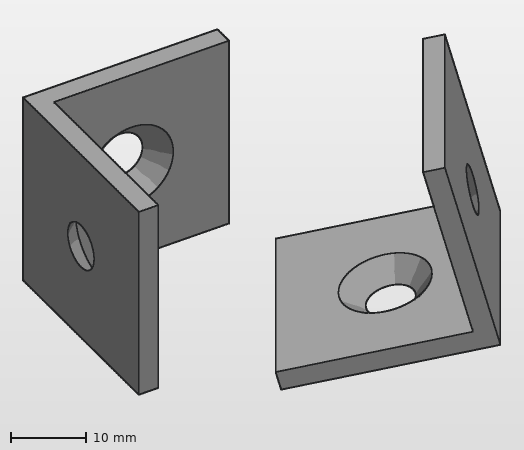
import cadquery as cq

side = 30.0
wall = 3.0
outer_hole_diameter = 6.8
inner_hole_diameter = outer_hole_diameter + 2 * wall
middle = side / 2

bracket = (
    cq.Workplane("XY")
    .polyline([(0, 0), (side, 0), (side, wall), (wall, wall), (wall, side), (0, side)])
    .close()
    .extrude(side)
)


def hole_cutter(direction):
    """Cone through one leg, widening from its outer face to its inner face along direction."""
    inward = cq.Vector(*direction)
    start = cq.Vector(middle, middle, middle) - inward * middle
    return cq.Solid.makeCone(outer_hole_diameter / 2, inner_hole_diameter / 2, wall, start, inward)


result = bracket
for direction in [(1, 0, 0), (0, 1, 0)]:
    result = result.cut(cq.Workplane(obj=hole_cutter(direction)))